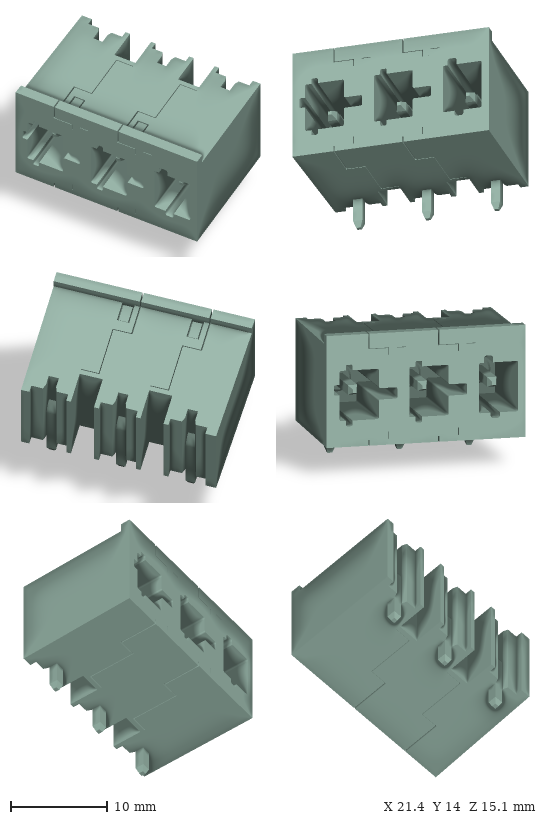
import cadquery as cq


length = 21.4
depth = 14.0
height = 11.92
module_count = 3
pin_row_length = 15.0
pitch = pin_row_length / (module_count - 1)

top_height = 10.87
lip_depth = 1.13
side_draft = 0.36
extension_end = 8.52
extension_back = 10.53
body_start = extension_end - pitch
rear_leg_end = 6.03

extension_bottom = 0.6
extension_top = 10.27
plate_underside = 10.34
step_x = (4.47, 6.55)
step_y = (4.52, 10.02)
plate_gap = 0.09
front_gap = 0.15
rib_start = 6.63
rib_end = 7.55
rib_height = 0.8

window_x = (5.15, 6.48)
window_end = 3.3
nub_x = (5.3, 6.31)
nub_y = (1.35, 3.23)
nub_drop = 0.06

pin_x = 3.5
pin_z = 5.45
pin_width = 1.0
pin_bottom = -3.19
pin_front = 1.9
pin_back = 12.63
contact_tip_length = 0.85
contact_tip_width = 0.39
leg_tip_length = 0.7
leg_tip_width = 0.47

recess_width = 3.98
recess_depth = 0.77
slot_width = 1.1
slot_mouth = 1.5
mouth_depth = 0.51

socket_depth = 8.99
socket_x = (1.4, 5.6)
socket_z = (2.78, 8.13)
corner_radius = 0.17
key_reach = 0.6
key_x = (2.08, 2.78)
side_key_z = (5.52, 6.63)
arm_end = 7.6
arm_z = (4.85, 6.05)
last_draft_angle = 0.5
last_top_key_x = (1.9, 2.89)
last_top_key_reach = 0.75
last_bottom_key_x = (2.65, 3.64)
last_key_radius = 0.28

collar_base_radius = 1.5
collar_top_radius = 1.26
collar_height = collar_base_radius - collar_top_radius


def block(x_span, y_span, z_span):
    """Box between the given limits along each axis."""
    return cq.Workplane("XY").box(
        x_span[1] - x_span[0], y_span[1] - y_span[0], z_span[1] - z_span[0], centered=False
    ).translate((x_span[0], y_span[0], z_span[0]))


def groove(x_span, z_span, radius):
    """Socket-deep channel from the mating face with rounded lengthwise edges."""
    return block(x_span, (0, socket_depth), z_span).edges("|Y").fillet(radius)


def stepped_plan(gap_front, gap, z_span):
    """Stepped interlock region, pulled in from the step lines by the given gaps."""
    first_x = step_x[0] + gap_front
    second_x = step_x[1] + gap
    first_y = step_y[0] - gap
    second_y = step_y[1] - gap
    outline = [
        (first_x, 0),
        (extension_end, 0),
        (extension_end, second_y),
        (second_x, second_y),
        (second_x, first_y),
        (first_x, first_y),
    ]
    plan = cq.Workplane("XY").workplane(offset=z_span[0]).polyline(outline).close()
    return plan.extrude(z_span[1] - z_span[0])


def ribs(start):
    """Upper and lower locking ribs running along the plates."""
    x_span = (start, rib_end)
    y_span = (0, step_y[1] - plate_gap)
    upper = block(x_span, y_span, (plate_underside - rib_height, plate_underside))
    lower = block(x_span, y_span, (extension_bottom, extension_bottom + rib_height))
    return upper.union(lower)


def extension():
    """Arm that reaches under the neighbour's plates, before its steps and notches are cut."""
    return block((rear_leg_end, extension_end), (0, extension_back), (0, height))


def receive_neighbour(body):
    """Cut the space for the neighbour's plates and ribs, then add the latch nub."""
    body = body.cut(stepped_plan(0, 0, (extension_top, height)))
    body = body.cut(stepped_plan(0, 0, (0, extension_bottom)))
    body = body.cut(ribs(rib_start))
    return body.union(block(nub_x, nub_y, (extension_top, top_height - nub_drop)))


def neighbour_plates():
    """Plates and ribs that lock onto the previous module, placed in its local X."""
    upper = stepped_plan(front_gap, plate_gap, (plate_underside, height))
    lower = stepped_plan(front_gap, plate_gap, (0, extension_bottom))
    window = block(window_x, (lip_depth, window_end), (plate_underside, height))
    return upper.cut(window).union(lower).union(ribs(rib_start + plate_gap))


def back_recess():
    """Full-height recess in the back with the flared slot for the upright pin leg."""
    floor_y = depth - recess_depth
    recess = block(
        (pin_x - recess_width / 2, pin_x + recess_width / 2), (floor_y, depth), (0, height)
    )
    slot_floor = pin_back - pin_width
    outline = [
        (pin_x - slot_width / 2, slot_floor),
        (pin_x + slot_width / 2, slot_floor),
        (pin_x + slot_width / 2, floor_y - mouth_depth),
        (pin_x + slot_mouth / 2, floor_y),
        (pin_x - slot_mouth / 2, floor_y),
        (pin_x - slot_width / 2, floor_y - mouth_depth),
    ]
    return recess.union(cq.Workplane("XY").polyline(outline).close().extrude(height))


def armed_socket(has_side_key):
    """Socket with a side arm and key grooves above and below, optionally one on the left."""
    main = block(socket_x, (0, socket_depth), socket_z)
    arm = block((socket_x[1], arm_end), (0, socket_depth), arm_z)
    socket = main.union(arm).edges("|Y").fillet(corner_radius)
    key_z = (socket_z[0] - key_reach, socket_z[1] + key_reach)
    socket = socket.union(groove(key_x, key_z, corner_radius))
    if has_side_key:
        side_key = groove((socket_x[0] - key_reach, pin_x), side_key_z, corner_radius)
        socket = socket.union(side_key)
    return socket


def last_socket():
    """Drafted socket with two offset key grooves."""
    width = socket_x[1] - socket_x[0]
    opening = socket_z[1] - socket_z[0]
    center = (sum(socket_z) / 2, sum(socket_x) / 2)
    main = cq.Workplane("ZX").center(*center).rect(opening, width)
    main = main.extrude(socket_depth, taper=last_draft_angle)
    main = main.edges("not(#Y)").fillet(corner_radius)
    top_key = groove(last_top_key_x, (pin_z, socket_z[1] + last_top_key_reach), last_key_radius)
    bottom_key = groove(last_bottom_key_x, (socket_z[0] - key_reach, pin_z), last_key_radius)
    return main.union(top_key).union(bottom_key)


def collar():
    """Cone around the pin, standing on the socket floor."""
    cone = cq.Solid.makeCone(
        collar_base_radius,
        collar_top_radius,
        collar_height,
        pnt=cq.Vector(pin_x, socket_depth, pin_z),
        dir=cq.Vector(0, -1, 0),
    )
    return cq.Workplane(cone)


def square_bar(workplane, bar_length, tip_length, tip_width):
    """Square bar from the workplane's origin, ending in a blunt pyramid tip."""
    straight = bar_length - tip_length
    bar = workplane.rect(pin_width, pin_width).extrude(straight)
    tip = workplane.workplane(offset=straight).rect(pin_width, pin_width)
    tip = tip.workplane(offset=tip_length).rect(tip_width, tip_width).loft(combine=False)
    return bar.union(tip)


def make_pin():
    """Bent pin: one leg points to the mating face, the other points down."""
    bend_y = pin_back - pin_width
    bend_z = pin_z - pin_width / 2
    contact_plane = cq.Workplane("XZ", origin=(pin_x, bend_y, pin_z))
    contact = square_bar(contact_plane, bend_y - pin_front, contact_tip_length, contact_tip_width)
    leg_origin = (pin_x, bend_y + pin_width / 2, bend_z)
    leg_plane = cq.Workplane("XY", origin=leg_origin).transformed(rotate=(180, 0, 0))
    leg = square_bar(leg_plane, bend_z - pin_bottom, leg_tip_length, leg_tip_width)
    x_span = (pin_x - pin_width / 2, pin_x + pin_width / 2)
    cylinder = cq.Workplane("YZ", origin=(x_span[0], bend_y, bend_z)).circle(pin_width)
    quadrant = block(x_span, (bend_y, pin_back), (bend_z, bend_z + pin_width))
    bend = cylinder.extrude(pin_width).intersect(quadrant)
    return contact.union(bend).union(leg)


def make_housing(index, pin):
    """Housing of one module, in that module's local X."""
    is_first = index == 0
    is_last = index == module_count - 1
    start = 0 if is_first else body_start
    back_start = side_draft if is_first else body_start
    end = length - index * pitch if is_last else rear_leg_end
    outline = [(start, 0), (end, 0), (end, depth), (back_start, depth)]
    body = cq.Workplane("XY").polyline(outline).close().extrude(height)
    if not is_last:
        body = receive_neighbour(body.union(extension()))
    if not is_first:
        body = body.union(neighbour_plates().translate((-pitch, 0, 0)))
    body = body.cut(block((-pitch, length), (lip_depth, depth), (top_height, height)))
    socket = last_socket() if is_last else armed_socket(is_first)
    return body.cut(back_recess()).cut(socket).union(collar()).cut(pin)


pin = make_pin()
housings = []
pins = []
for index in range(module_count):
    module_origin = (index * pitch, 0, 0)
    housings.append(make_housing(index, pin).translate(module_origin))
    pins.append(pin.translate(module_origin))

result = cq.Compound.makeCompound([body.solids().val() for body in housings + pins])